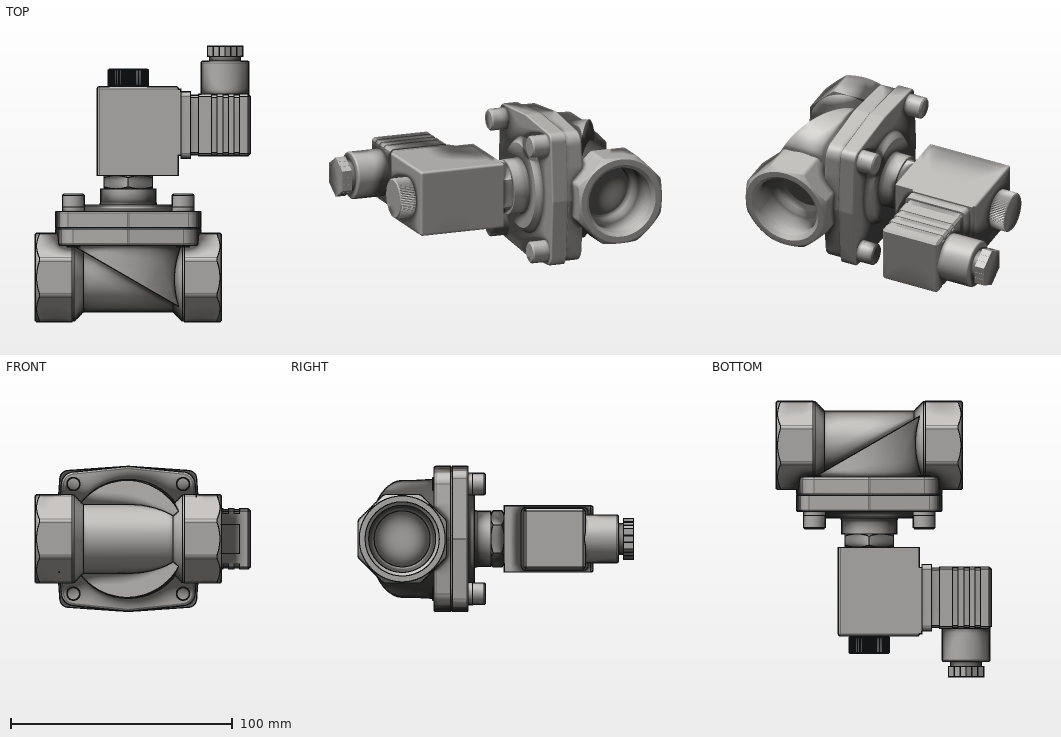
import cadquery as cq
import math


PORT_LENGTH = 84.0
HEX_FLATS = 40.0
HEX_LENGTH = 16.6
HEX_CORNER_RADIUS = 2.4
HEX_FACE_RADIUS = 19.4
COLLAR_RADIUS = 19.8
COLLAR_LENGTH = 1.0
NECKING_LENGTH = 4.1
PIPE_RADIUS = 15.6
THREAD_DIAMETER = 30.29
THREAD_DEPTH = 16.8
THREAD_CHAMFER = 1.6
THREAD_RUNOUT = 2.0
BORE_DIAMETER = 25.3
BORE_DEPTH = 24.0

DOME_RADIUS = 26.9
DOME_DRAFT = 2.0
DOME_SLANT = 30.0

FLANGE_BOTTOM = 14.35
FLANGE_TOP = 21.9
COVER_BOTTOM = 22.6
COVER_TOP = 29.8
FLANGE_PEAK = 32.82
FLANGE_PEAK_RADIUS = 4.0
BODY_FLANGE_SLOPE = 6.0
BODY_FLANGE_CORNER = 6.0
BODY_FLANGE_BOTTOM_FILLET = 1.0
SEAM_PEAK = 32.6
SEAM_PEAK_RADIUS = 15.0
SEAM_CORNER = 8.0
COVER_SLOPE = 4.0
COVER_CORNER = 4.0
COVER_FILLET = 0.7

BOLT_SPACING = 49.5
BOLT_HEAD_DIAMETER = 9.9
BOLT_HEAD_HEIGHT = 6.0
BOLT_HEAD_CHAMFER = 0.7
BOLT_SEAT_DIAMETER = 10.0
BOLT_SEAT_HEIGHT = 1.9
BOLT_DIAMETER = 6.0
BOLT_TIP_CHAMFER = 0.25
BOLT_TIP = 13.7

RING_RADIUS = 20.0
RING_BASE_RADIUS = 22.0
RING_TOP = 32.7
RING_CHAMFER = 0.6
NECK_RADIUS = 12.5
NECK_FLARE = 0.4
NECK_FLARE_TOP = 34.1
NECK_TOP = 40.0
NUT_FLATS = 22.0
NUT_TOP = 46.0
NUT_FACE_RADIUS = NUT_FLATS / 2

COIL_LEFT = -14.0
COIL_RIGHT = 22.6
COIL_TOP = 86.15
COIL_DEPTH = 30.0
COIL_FILLET = 1.1
PAD_THICKNESS = 1.2
PAD_HEIGHT = 30.0
KNOB_DIAMETER = 18.3
KNOB_HEIGHT = 7.9
KNOB_CHAMFER = 0.6
KNOB_TEETH = 72
KNOB_TOOTH_DEPTH = 0.35

CONNECTOR_Y = 68.8
PLATE_THICKNESS = 4.4
PLATE_HEIGHT = 30.2
PLATE_DEPTH = 28.4
PLATE_CORNER = 2.3
SHOULDER_THICKNESS = 3.6
SHOULDER_HEIGHT = 27.0
SHOULDER_DEPTH = 26.4
PLUG_RIGHT = 55.1
PLUG_HEIGHT = 27.8
PLUG_DEPTH = 27.3
PLUG_CHAMFER = 1.0
GROOVE_DEPTH = 0.4
GROOVE_RETURN = 2.3
GROOVE_WIDTH = 2.5
GROOVE_PITCH = 5.1
GROOVE_COUNT = 3
FIRST_GROOVE_X = 37.6
WINDOW_DEPTH = 0.4
WINDOW_WIDTH = 13.2
GLAND_X = 43.7
GLAND_DIAMETER = 21.6
GLAND_TOP = 97.6
GLAND_FILLET = 0.8
GLAND_NECK_DIAMETER = 14.1
GLAND_NUT_BOTTOM = 99.8
GLAND_NUT_FLATS = 16.0
GLAND_NUT_TOP = 104.45
GRIP_WIDTH = 0.25
GRIP_DEPTH = 0.15


def box(x_range, y_range, depth):
    """Box between two X values and two Y values, centred on Z = 0."""
    width = x_range[1] - x_range[0]
    height = y_range[1] - y_range[0]
    middle = (sum(x_range) / 2, sum(y_range) / 2, 0)
    return cq.Workplane("XY").box(width, height, depth).translate(middle)


def plane_at_y(y, x=0):
    """Workplane facing +Y whose local x runs along +X."""
    return cq.Workplane(cq.Plane(origin=(x, y, 0), xDir=(1, 0, 0), normal=(0, 1, 0)))


def upright_cylinder(diameter, bottom, top, x=0):
    return plane_at_y(bottom, x).circle(diameter / 2).extrude(top - bottom)


def upright_hexagon(flats, bottom, top, x=0):
    """Hexagonal prism along Y with two flats facing +X and -X."""
    return plane_at_y(bottom, x).polygon(6, flats, circumscribed=True).extrude(top - bottom)


def turned_about_x(profile):
    return cq.Workplane("XY").polyline(profile).close().revolve(360, (0, 0, 0), (1, 0, 0))


def turned_about_y(profile):
    return cq.Workplane("XY").polyline(profile).close().revolve(360, (0, 0, 0), (0, 1, 0))



def port_end():
    """Octagonal end on the -X side, with its collar and the cone down to the pipe."""
    face_x = -PORT_LENGTH / 2
    hex_x = face_x + HEX_LENGTH
    collar_x = hex_x + COLLAR_LENGTH
    cone_x = collar_x + NECKING_LENGTH
    octagon = (
        cq.Workplane("YZ", origin=(face_x, 0, 0))
        .polygon(8, HEX_FLATS, circumscribed=True)
        .extrude(HEX_LENGTH)
        .edges("|X")
        .fillet(HEX_CORNER_RADIUS)
    )
    chamfer_limit = turned_about_x([
        (face_x, 0), (face_x, HEX_FACE_RADIUS), (hex_x, HEX_FACE_RADIUS + HEX_LENGTH), (hex_x, 0),
    ])
    transition = turned_about_x([
        (hex_x, 0), (hex_x, COLLAR_RADIUS), (collar_x, COLLAR_RADIUS), (cone_x, PIPE_RADIUS), (cone_x, 0),
    ])
    return octagon.intersect(chamfer_limit).union(transition)


def port_bore():
    """Chamfered thread bore of the -X port, tapering to a narrower blind bore."""
    face_x = -PORT_LENGTH / 2
    thread_radius = THREAD_DIAMETER / 2
    bore_radius = BORE_DIAMETER / 2
    thread_x = face_x + THREAD_DEPTH
    end_x = face_x + BORE_DEPTH
    return turned_about_x([
        (face_x, 0),
        (face_x, thread_radius + THREAD_CHAMFER),
        (face_x + THREAD_CHAMFER, thread_radius),
        (thread_x, thread_radius),
        (thread_x + THREAD_RUNOUT, bore_radius),
        (end_x, bore_radius),
        (end_x, 0),
    ])


def dome():
    """Tapered round boss under the flange, cut off below by a slanted plane through the pipe axis."""
    reach = 2 * DOME_RADIUS
    height = FLANGE_BOTTOM + DOME_RADIUS
    tip_radius = DOME_RADIUS - height * math.tan(math.radians(DOME_DRAFT))
    cone = turned_about_y([
        (0, -DOME_RADIUS), (tip_radius, -DOME_RADIUS), (DOME_RADIUS, FLANGE_BOTTOM), (0, FLANGE_BOTTOM),
    ])
    below_slant = box((-reach, reach), (-reach, 0), reach).rotate((0, 0, 0), (0, 0, 1), -DOME_SLANT)
    return cone.cut(below_slant)


def flange(bottom, top, slope, corner_radius, peak=FLANGE_PEAK, peak_radius=FLANGE_PEAK_RADIUS):
    """Square plate whose sides bulge to a rounded peak in the middle."""
    fall = math.tan(math.radians(slope))
    corner = peak / (1 + fall)
    outline = [
        (peak, 0), (corner, corner), (0, peak), (-corner, corner),
        (-peak, 0), (-corner, -corner), (0, -peak), (corner, -corner),
    ]
    plate = plane_at_y(bottom).polyline(outline).close().extrude(top - bottom)
    half = peak / 2
    reach = 2 * peak
    along_x = cq.selectors.BoxSelector((-reach, bottom - 1, -half), (reach, top + 1, half))
    along_z = cq.selectors.BoxSelector((-half, bottom - 1, -reach), (half, top + 1, reach))
    plate = plate.edges("|Y").edges(along_x + along_z).fillet(peak_radius)
    for x_side in (-1, 1):
        for z_side in (-1, 1):
            place = (x_side * corner, (bottom + top) / 2, z_side * corner)
            plate = plate.edges(cq.selectors.NearestToPointSelector(place)).fillet(corner_radius)
    return plate


def body_flange():
    plate = flange(FLANGE_BOTTOM, FLANGE_TOP, BODY_FLANGE_SLOPE, BODY_FLANGE_CORNER)
    return plate.faces("<Y").edges().fillet(BODY_FLANGE_BOTTOM_FILLET)


def seam():
    return flange(FLANGE_TOP, COVER_BOTTOM, BODY_FLANGE_SLOPE, SEAM_CORNER, SEAM_PEAK, SEAM_PEAK_RADIUS)


def cover():
    """Cover plate with its raised conical ring and flared neck."""
    plate = flange(COVER_BOTTOM, COVER_TOP, COVER_SLOPE, COVER_CORNER)
    plate = plate.faces(">Y").edges().fillet(COVER_FILLET)
    turned = turned_about_y([
        (0, COVER_BOTTOM),
        (RING_BASE_RADIUS, COVER_BOTTOM),
        (RING_BASE_RADIUS, COVER_TOP),
        (RING_RADIUS, RING_TOP - RING_CHAMFER),
        (RING_RADIUS - RING_CHAMFER, RING_TOP),
        (NECK_RADIUS + NECK_FLARE, RING_TOP),
        (NECK_RADIUS, NECK_FLARE_TOP),
        (NECK_RADIUS, NECK_TOP),
        (0, NECK_TOP),
    ])
    return plate.union(turned)


def tube_nut():
    """Hexagon under the coil with both ends chamfered."""
    corner_drop = (NUT_FLATS / math.sqrt(3) - NUT_FACE_RADIUS) * math.tan(math.radians(30))
    outer = NUT_FLATS / math.sqrt(3)
    limit = turned_about_y([
        (0, NECK_TOP), (NUT_FACE_RADIUS, NECK_TOP), (outer, NECK_TOP + corner_drop),
        (outer, NUT_TOP - corner_drop), (NUT_FACE_RADIUS, NUT_TOP), (0, NUT_TOP),
    ])
    return upright_hexagon(NUT_FLATS, NECK_TOP, NUT_TOP).intersect(limit)


def bolt():
    seat_top = COVER_TOP + BOLT_SEAT_HEIGHT
    head_top = seat_top + BOLT_HEAD_HEIGHT
    shank = upright_cylinder(BOLT_DIAMETER, BOLT_TIP, COVER_TOP).faces("<Y").chamfer(BOLT_TIP_CHAMFER)
    seat = upright_cylinder(BOLT_SEAT_DIAMETER, COVER_BOTTOM, seat_top)
    head = upright_cylinder(BOLT_HEAD_DIAMETER, seat_top, head_top).faces(">Y").chamfer(BOLT_HEAD_CHAMFER)
    return shank.union(seat).union(head)


def make_valve():
    pipe_half = PORT_LENGTH / 2 - HEX_LENGTH
    pipe = cq.Workplane("YZ").circle(PIPE_RADIUS).extrude(pipe_half, both=True)
    port = port_end()
    valve = pipe.union(dome()).union(port).union(port.mirror("YZ"))
    valve = valve.union(body_flange()).union(seam()).union(cover()).union(tube_nut())
    for x_side in (-1, 1):
        for z_side in (-1, 1):
            place = (x_side * BOLT_SPACING / 2, 0, z_side * BOLT_SPACING / 2)
            valve = valve.union(bolt().translate(place))
    bore = port_bore()
    return valve.cut(bore).cut(bore.mirror("YZ"))



def knob():
    """Knurled retaining nut on top of the coil."""
    outer = KNOB_DIAMETER / 2
    root = outer - KNOB_TOOTH_DEPTH
    step = math.pi / KNOB_TEETH
    outline = []
    for i in range(2 * KNOB_TEETH):
        radius = outer if i % 2 == 0 else root
        outline.append((radius * math.cos(i * step), radius * math.sin(i * step)))
    top = COIL_TOP + KNOB_HEIGHT
    knurled = plane_at_y(COIL_TOP).polyline(outline).close().extrude(KNOB_HEIGHT)
    limit = upright_cylinder(KNOB_DIAMETER, COIL_TOP, top).faces("<Y or >Y").chamfer(KNOB_CHAMFER)
    return knurled.intersect(limit)


def make_coil():
    block = box((COIL_LEFT, COIL_RIGHT), (NUT_TOP, COIL_TOP), COIL_DEPTH)
    block = block.edges("(<X and |Y) or >Y").fillet(COIL_FILLET)
    pad_top = COIL_TOP - COIL_FILLET
    pad = box((COIL_LEFT + COIL_RIGHT, COIL_RIGHT + PAD_THICKNESS), (pad_top - PAD_HEIGHT, pad_top), COIL_DEPTH)
    return block.union(pad).union(knob())



def centred_block(left, right, height, depth):
    y_range = (CONNECTOR_Y - height / 2, CONNECTOR_Y + height / 2)
    return box((left, right), y_range, depth)


def plug_groove(left):
    """Shallow channel across each Z face that turns the corner onto the Y faces."""
    right = left + GROOVE_WIDTH
    outside = centred_block(left, right, 2 * PLUG_HEIGHT, 2 * PLUG_DEPTH)
    core = centred_block(left, right, PLUG_HEIGHT - 2 * GROOVE_DEPTH, PLUG_DEPTH - 2 * GROOVE_DEPTH)
    core = core.edges("|X").chamfer(PLUG_CHAMFER)
    middle = centred_block(left, right, 2 * PLUG_HEIGHT, PLUG_DEPTH - 2 * GROOVE_RETURN)
    return outside.cut(core).cut(middle)


def gland_nut():
    """Hexagonal cable nut with two fine grip lines on each flat."""
    nut = upright_hexagon(GLAND_NUT_FLATS, GLAND_NUT_BOTTOM, GLAND_NUT_TOP, GLAND_X)
    flat_x = GLAND_X + GLAND_NUT_FLATS / 2
    offset = GLAND_NUT_FLATS / math.sqrt(3) / 6
    for side in range(6):
        for z in (-offset, offset):
            line = box((flat_x - GRIP_DEPTH, flat_x + 1), (GLAND_NUT_BOTTOM, GLAND_NUT_TOP), GRIP_WIDTH)
            line = line.translate((0, 0, z))
            nut = nut.cut(line.rotate((GLAND_X, 0, 0), (GLAND_X, 1, 0), 60 * side))
    return nut


def make_connector():
    plate_left = COIL_RIGHT + PAD_THICKNESS
    shoulder_left = plate_left + PLATE_THICKNESS
    plug_left = shoulder_left + SHOULDER_THICKNESS
    plate = centred_block(plate_left, shoulder_left, PLATE_HEIGHT, PLATE_DEPTH)
    plate = plate.edges("|X").fillet(PLATE_CORNER)
    shoulder = centred_block(shoulder_left, plug_left, SHOULDER_HEIGHT, SHOULDER_DEPTH)
    shoulder = shoulder.edges("|X").chamfer(PLUG_CHAMFER)
    plug = centred_block(plug_left, PLUG_RIGHT, PLUG_HEIGHT, PLUG_DEPTH)
    plug = plug.edges("|X or >X").chamfer(PLUG_CHAMFER)
    for i in range(GROOVE_COUNT):
        plug = plug.cut(plug_groove(FIRST_GROOVE_X + i * GROOVE_PITCH))
    window_right = FIRST_GROOVE_X + (GROOVE_COUNT - 1) * GROOVE_PITCH + GROOVE_WIDTH
    plug_bottom = CONNECTOR_Y - PLUG_HEIGHT / 2
    plug = plug.cut(box((FIRST_GROOVE_X, window_right), (plug_bottom, plug_bottom + WINDOW_DEPTH), WINDOW_WIDTH))
    gland = upright_cylinder(GLAND_DIAMETER, CONNECTOR_Y, GLAND_TOP, GLAND_X).faces(">Y").fillet(GLAND_FILLET)
    neck = upright_cylinder(GLAND_NECK_DIAMETER, CONNECTOR_Y, GLAND_NUT_BOTTOM, GLAND_X)
    return plate.union(shoulder).union(plug).union(gland).union(neck).union(gland_nut())


valve = make_valve()
coil = make_coil()
connector = make_connector()

result = cq.Compound.makeCompound([valve.val(), coil.val(), connector.val()])